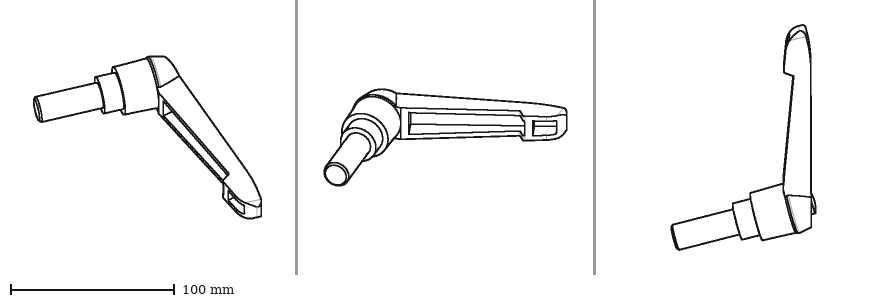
import cadquery as cq
import math

STUD_DIAMETER = 16.0
STUD_LENGTH = 40.0
STUD_CHAMFER = 1.2
SLEEVE_DIAMETER = 23.0
SLEEVE_LENGTH = 12.0

COLLAR_BASE_Y = 33.0
COLLAR_EDGE_Y = 34.2
COLLAR_TOP_Y = 35.3
COLLAR_RADIUS = 16.24
SKIRT_BASE_RADIUS = 15.0
SKIRT_TOP_RADIUS = 15.6
CONE_ANGLE = 12.4
CONE_HEIGHT = 16.0

HEAD_DIAMETER = 14.0
HEAD_TOP_Y = 48.8
HEAD_DOME_HEIGHT = 1.3

TOP_Y = 72.03
TIP_X = 110.01
TOP_SLOPE = 15.0
UNDERSIDE_SLOPE = 20.3
TOP_PLANE_Y = 46.6
CROWN_RADIUS = 83.0
UNDERSIDE_START_X = 15.6
NOTCH_X = 83.8
HOOK_X = 87.7
HOOK_DROP = 5.3
HOOK_ROUND = 1.2
NOSE_RADIUS = 14.4
TIP_ROUND = 3.0

ARM_HALF_WIDTH_AT_AXIS = 11.6
ARM_TAPER = 1.91
TIP_CORNER_RADIUS = 3.5

ROOF_THICKNESS = 4.0
SIDE_WALL = 3.45
POCKET_CORNER_RADIUS = 0.9
POCKET_REACH = 40.0
GRIP_POCKET = (16.4, 87.2)
TIP_POCKET = (92.2, 106.5)


def tangent(angle):
    return math.tan(math.radians(angle))


def top_plane_level(x):
    return TOP_PLANE_Y + x * tangent(TOP_SLOPE)


def arm_half_width(x):
    return ARM_HALF_WIDTH_AT_AXIS - x * tangent(ARM_TAPER)


def on_circle(x, y, radius, angle):
    return (x + radius * math.cos(angle), y + radius * math.sin(angle))


def turned_body():
    """Stud, sleeve, skirt, collar and cone as one revolved profile."""
    stud_radius = STUD_DIAMETER / 2
    sleeve_radius = SLEEVE_DIAMETER / 2
    cone_top_y = COLLAR_TOP_Y + CONE_HEIGHT
    profile = [
        (0, -STUD_LENGTH),
        (stud_radius - STUD_CHAMFER, -STUD_LENGTH),
        (stud_radius, -STUD_LENGTH + STUD_CHAMFER),
        (stud_radius, 0),
        (sleeve_radius, 0),
        (sleeve_radius, SLEEVE_LENGTH),
        (SKIRT_BASE_RADIUS, SLEEVE_LENGTH),
        (SKIRT_TOP_RADIUS, COLLAR_BASE_Y),
        (COLLAR_RADIUS, COLLAR_EDGE_Y),
        (COLLAR_RADIUS, COLLAR_TOP_Y),
        (COLLAR_RADIUS - CONE_HEIGHT * tangent(CONE_ANGLE), cone_top_y),
        (0, cone_top_y),
    ]
    return cq.Workplane("XY").polyline(profile).close().revolve(360, (0, 0), (0, 1))


def above_top_plane():
    """Everything over the sloping plane that cuts off the hub."""
    reach = 2 * COLLAR_RADIUS
    return (
        cq.Workplane("XY")
        .moveTo(-reach, top_plane_level(-reach))
        .lineTo(reach, top_plane_level(reach))
        .lineTo(-reach, top_plane_level(reach))
        .close()
        .extrude(reach, both=True)
    )


def screw_head():
    """Cylinder with a shallow spherical dome, turned about the Y axis."""
    radius = HEAD_DIAMETER / 2
    rim_y = HEAD_TOP_Y - HEAD_DOME_HEIGHT
    dome_radius = (radius**2 + HEAD_DOME_HEIGHT**2) / (2 * HEAD_DOME_HEIGHT)
    half_arc_angle = math.pi / 2 - math.asin(radius / dome_radius) / 2
    dome_middle = on_circle(0, HEAD_TOP_Y - dome_radius, dome_radius, half_arc_angle)
    return (
        cq.Workplane("XY")
        .moveTo(0, COLLAR_TOP_Y)
        .lineTo(radius, COLLAR_TOP_Y)
        .lineTo(radius, rim_y)
        .threePointArc(dome_middle, (0, HEAD_TOP_Y))
        .close()
        .revolve(360, (0, 0), (0, 1))
    )


def side_outline():
    """Arm outline in the XY plane, extruded wider than the arm."""
    top_angle = math.radians(TOP_SLOPE)
    low_angle = math.radians(UNDERSIDE_SLOPE)

    crest_x = (TOP_Y - TOP_PLANE_Y) / math.tan(top_angle)
    crown_tangent = CROWN_RADIUS * math.tan(top_angle / 2)
    crown_start_x = crest_x - crown_tangent * math.cos(top_angle)
    crown_end_x = crest_x + crown_tangent

    notch_y = COLLAR_BASE_Y + (NOTCH_X - UNDERSIDE_START_X) * math.tan(low_angle)
    hook_y = notch_y - HOOK_DROP

    round_x = TIP_X - TIP_ROUND
    round_y = TOP_Y - TIP_ROUND

    underside_at_round = hook_y + (round_x - HOOK_X) * math.tan(low_angle)
    round_height = (round_y - underside_at_round) * math.cos(low_angle)
    centre_gap = NOSE_RADIUS - TIP_ROUND
    tilt = math.asin((round_height - NOSE_RADIUS) / centre_gap) + low_angle
    nose_centre_x = round_x - centre_gap * math.cos(tilt)
    nose_centre_y = round_y - centre_gap * math.sin(tilt)
    nose_start_x = nose_centre_x + NOSE_RADIUS * math.sin(low_angle)
    nose_start_y = nose_centre_y - NOSE_RADIUS * math.cos(low_angle)
    round_middle = (tilt + math.pi / 2) / 2
    nose_middle = (tilt + low_angle - math.pi / 2) / 2

    crown_middle = on_circle(
        crown_end_x, TOP_Y - CROWN_RADIUS, CROWN_RADIUS, math.pi / 2 + top_angle / 2
    )
    outline = (
        cq.Workplane("XY")
        .moveTo(0, COLLAR_BASE_Y)
        .lineTo(UNDERSIDE_START_X, COLLAR_BASE_Y)
        .lineTo(NOTCH_X, notch_y)
        .lineTo(HOOK_X, hook_y)
        .lineTo(nose_start_x, nose_start_y)
        .threePointArc(
            on_circle(nose_centre_x, nose_centre_y, NOSE_RADIUS, nose_middle),
            on_circle(nose_centre_x, nose_centre_y, NOSE_RADIUS, tilt),
        )
        .threePointArc(on_circle(round_x, round_y, TIP_ROUND, round_middle), (round_x, TOP_Y))
        .lineTo(crown_end_x, TOP_Y)
        .threePointArc(crown_middle, (crown_start_x, top_plane_level(crown_start_x)))
        .lineTo(0, TOP_PLANE_Y)
        .close()
        .extrude(ARM_HALF_WIDTH_AT_AXIS, both=True)
    )
    corners = cq.selectors.BoxSelector(
        (NOTCH_X - HOOK_ROUND, hook_y - HOOK_ROUND, -HOOK_ROUND),
        (HOOK_X + HOOK_ROUND, notch_y + HOOK_ROUND, HOOK_ROUND),
    )
    return outline.edges("|Z").edges(corners).fillet(HOOK_ROUND)


def plan_outline():
    """Tapering arm outline in the XZ plane with rounded tip corners."""
    end_half_width = arm_half_width(TIP_X)
    return (
        cq.Workplane("XZ", origin=(0, TOP_Y, 0))
        .moveTo(0, -ARM_HALF_WIDTH_AT_AXIS)
        .lineTo(TIP_X, -end_half_width)
        .lineTo(TIP_X, end_half_width)
        .lineTo(0, ARM_HALF_WIDTH_AT_AXIS)
        .close()
        .extrude(TOP_Y - COLLAR_BASE_Y)
        .edges("|Y and >X")
        .fillet(TIP_CORNER_RADIUS)
    )


def pocket(start, end):
    """Tapering pocket below the roof, running down square to the top plane."""
    angle = math.radians(TOP_SLOPE)
    along = cq.Vector(math.cos(angle), math.sin(angle), 0)
    down = cq.Vector(math.sin(angle), -math.cos(angle), 0)
    roof = cq.Vector(0, TOP_PLANE_Y, 0) + down * ROOF_THICKNESS
    start_half_width = arm_half_width((roof + along * start).x) - SIDE_WALL
    end_half_width = arm_half_width((roof + along * end).x) - SIDE_WALL
    tool = (
        cq.Workplane(cq.Plane(origin=roof, xDir=along, normal=down))
        .moveTo(start, -start_half_width)
        .lineTo(end, -end_half_width)
        .lineTo(end, end_half_width)
        .lineTo(start, start_half_width)
        .close()
        .extrude(POCKET_REACH)
    )
    end_face = cq.selectors.DirectionMinMaxSelector(along, True)
    upright = cq.selectors.ParallelDirSelector(down)
    return tool.faces(end_face).edges(upright).fillet(POCKET_CORNER_RADIUS)


def arm():
    body = side_outline().intersect(plan_outline())
    for start, end in (GRIP_POCKET, TIP_POCKET):
        body = body.cut(pocket(start, end))
    return body


hub = turned_body().cut(above_top_plane())
result = hub.union(arm()).union(screw_head())